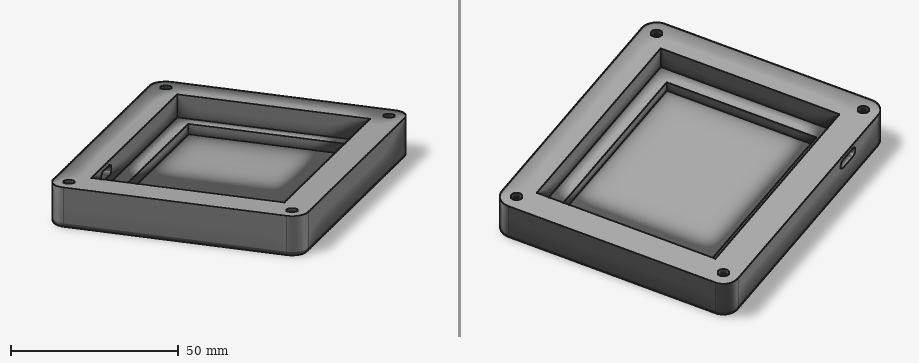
import cadquery as cq

width = 80.7
length = 95.1
height = 13.0
corner_radius = 5.0
bottom_fillet = 1.5

pocket_width = 61.0
pocket_length = 75.3
pocket_depth = 7.3
pocket_x = 0.4
pocket_y = 0.5

window_width = 51.1
window_length = 66.1
window_x = pocket_x
window_y = 1.0

panel_thickness = 2.4

screw_diameter = 3.4

slot_length = 9.0
slot_height = 3.2
slot_y = -24.15
slot_z = 9.9


def make_body_blank():
    blank = cq.Workplane("XY").box(width, length, height, centered=(True, True, False))
    return blank.edges("|Z").fillet(corner_radius).faces("<Z").edges().fillet(bottom_fillet)


def make_pocket():
    return (
        cq.Workplane("XY", origin=(pocket_x, pocket_y, height))
        .rect(pocket_width, pocket_length)
        .extrude(-pocket_depth)
    )


def make_window_prism(prism_height):
    """Prism with the window outline, standing on the underside."""
    return (
        cq.Workplane("XY", origin=(window_x, window_y, 0))
        .rect(window_width, window_length)
        .extrude(prism_height)
    )


def make_screw_holes():
    return (
        cq.Workplane("XY")
        .rect(width - 2 * corner_radius, length - 2 * corner_radius, forConstruction=True)
        .vertices()
        .circle(screw_diameter / 2)
        .extrude(height)
    )


def make_cable_slot():
    """Slot from the outer -X face to the middle of the pocket."""
    return (
        cq.Workplane("YZ", origin=(-width / 2, slot_y, slot_z))
        .slot2D(slot_length, slot_height)
        .extrude(width / 2)
    )


def make_housing():
    housing = make_body_blank()
    housing = housing.cut(make_pocket())
    housing = housing.cut(make_window_prism(height - pocket_depth))
    housing = housing.cut(make_screw_holes())
    return housing.cut(make_cable_slot())


def make_panel():
    return make_window_prism(panel_thickness)


housing = make_housing()
panel = make_panel()

result = cq.Compound.makeCompound([housing.val(), panel.val()])